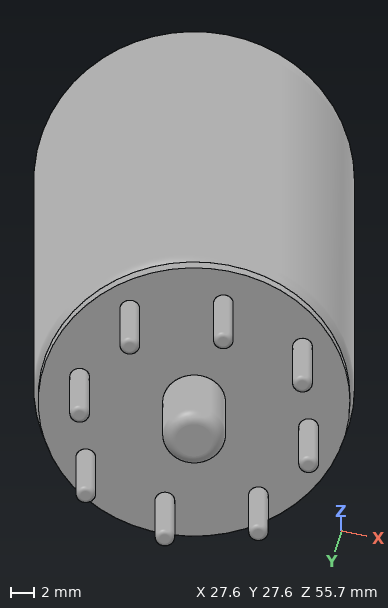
import cadquery as cq
import math

body_diameter = 27.58
base_diameter = 26.78
base_thickness = 1.0
body_bottom_z = 2.3
dome_fillet = 6.75
envelope_top_z = 44.2

tip_diameter = 6.89
tip_top_z = 49.16

pin_diameter = 1.7
pin_length = 6.5
pin_end_fillet = 0.4
axis_pin_radius = 10.15
diagonal_pin_radius = 10.82
pins_per_ring = 4
diagonal_start_angle = 45

post_diameter = 5.4
post_end_fillet = 1.1


def make_envelope():
    """Revolved base disc, body with a curved lower end, and domed shoulder."""
    base_radius = base_diameter / 2
    body_radius = body_diameter / 2
    body_top_z = envelope_top_z - dome_fillet
    dome_flat_radius = body_radius - dome_fillet
    dome_arc_offset = dome_fillet * math.sqrt(0.5)
    profile = (
        cq.Workplane("XZ")
        .moveTo(0, envelope_top_z)
        .lineTo(dome_flat_radius, envelope_top_z)
        .threePointArc(
            (dome_flat_radius + dome_arc_offset, body_top_z + dome_arc_offset),
            (body_radius, body_top_z),
        )
        .lineTo(body_radius, body_bottom_z)
        .tangentArcPoint((base_radius, base_thickness), relative=False)
        .lineTo(base_radius, 0)
        .lineTo(0, 0)
        .close()
    )
    return profile.revolve(360, (0, 0, 0), (0, 1, 0))


def make_tip():
    """Cylinder closed by a hemisphere."""
    tip_radius = tip_diameter / 2
    sphere_center_z = tip_top_z - tip_radius
    stem_bottom_z = envelope_top_z - tip_radius
    stem = (
        cq.Workplane("XY", origin=(0, 0, stem_bottom_z))
        .circle(tip_radius)
        .extrude(sphere_center_z - stem_bottom_z)
    )
    cap = cq.Workplane("XY", origin=(0, 0, sphere_center_z)).sphere(tip_radius)
    return stem.union(cap)


def make_pins(ring_radius, start_angle):
    """Ring of pins with rounded lower ends."""
    return (
        cq.Workplane("XY", origin=(0, 0, base_thickness))
        .polarArray(ring_radius, start_angle, 360, pins_per_ring)
        .circle(pin_diameter / 2)
        .extrude(-(pin_length + base_thickness))
        .faces("<Z")
        .edges()
        .fillet(pin_end_fillet)
    )


def make_post():
    """Central locating post with a rounded lower end."""
    return (
        cq.Workplane("XY", origin=(0, 0, base_thickness))
        .circle(post_diameter / 2)
        .extrude(-(pin_length + base_thickness))
        .faces("<Z")
        .edges()
        .fillet(post_end_fillet)
    )


axis_pins = make_pins(axis_pin_radius, 0)
diagonal_pins = make_pins(diagonal_pin_radius, diagonal_start_angle)
result = make_envelope().union(make_tip()).union(make_post()).union(axis_pins).union(diagonal_pins)